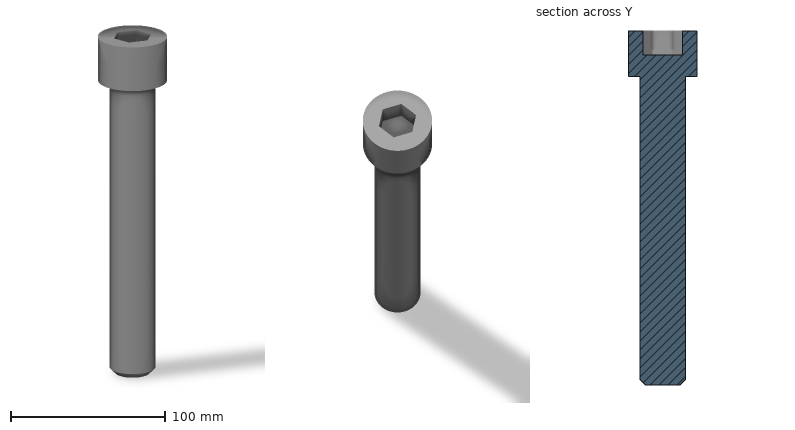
import cadquery as cq
import math

total_length = 230
head_diameter = 45.0
shank_diameter = 30
head_height = shank_diameter
shank_length = total_length - head_height

thread_length = 72.0
tip_chamfer = 3.7

socket_across_flats = 22.0
socket_depth = 15.5


def make_threaded_end():
    end = cq.Workplane("XY").circle(shank_diameter / 2).extrude(thread_length)
    return end.faces("<Z").chamfer(tip_chamfer)


def make_plain_shank():
    plain_length = shank_length - thread_length
    return (
        cq.Workplane("XY")
        .workplane(offset=thread_length)
        .circle(shank_diameter / 2)
        .extrude(plain_length)
    )


def make_head():
    return (
        cq.Workplane("XY")
        .workplane(offset=shank_length)
        .circle(head_diameter / 2)
        .extrude(head_height)
    )


def make_socket():
    socket_across_corners = socket_across_flats / math.cos(math.pi / 6)
    return (
        cq.Workplane("XY")
        .workplane(offset=total_length - socket_depth)
        .polygon(6, socket_across_corners)
        .extrude(socket_depth)
    )


shank = make_threaded_end().union(make_plain_shank(), clean=False)
result = shank.union(make_head(), clean=False).cut(make_socket(), clean=False)